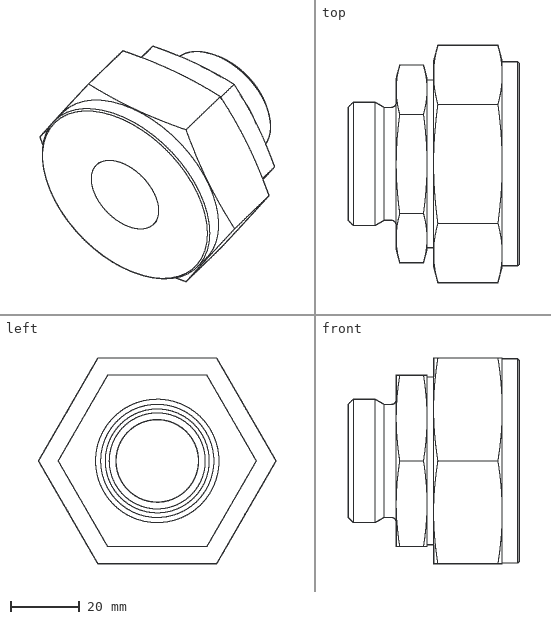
import cadquery as cq
import math

OVERALL_LENGTH = 49.9
SMALL_HEX_START = 14.0
SMALL_HEX_LENGTH = 9.0
LARGE_HEX_LENGTH = 20.0
END_COLLAR_LENGTH = 5.0

SMALL_HEX_FLATS = 50.0
LARGE_HEX_FLATS = 60.0
HEX_CHAMFER_ANGLE = 15.0

SPIGOT_RADIUS = 18.0
TIP_CHAMFER = 1.5
RELIEF_RADIUS = 16.5
RELIEF_CONE_START = 7.9
RELIEF_CONE_ANGLE = 30.0
RELIEF_FILLET = 1.4

NECK_RADIUS = 24.5
END_COLLAR_RADIUS = 29.8
END_COLLAR_CHAMFER = 0.5

BORE_RADIUS = 12.0
SOCKET_RADIUS = 14.0
SOCKET_MOUTH_RADIUS = 15.15
SOCKET_CONE_HALF_ANGLE = 12.0
SOCKET_DEPTH = 7.5

SMALL_HEX_END = SMALL_HEX_START + SMALL_HEX_LENGTH
LARGE_HEX_END = OVERALL_LENGTH - END_COLLAR_LENGTH
LARGE_HEX_START = LARGE_HEX_END - LARGE_HEX_LENGTH


def tangent(degrees):
    return math.tan(math.radians(degrees))


def cylinder(start, end, radius):
    """Cylinder along X between two stations."""
    return cq.Workplane("YZ", origin=(start, 0, 0)).circle(radius).extrude(end - start)


def chamfered_hexagon(start, end, flats):
    """Hexagonal prism along X whose corners are coned off at both ends."""
    flat_radius = flats / 2
    corner_radius = flat_radius / math.cos(math.pi / 6)
    corner_drop = (corner_radius - flat_radius) * tangent(HEX_CHAMFER_ANGLE)
    prism = (
        cq.Workplane("YZ", origin=(start, 0, 0))
        .polygon(6, 2 * corner_radius)
        .extrude(end - start)
    )
    envelope = (
        cq.Workplane("XY")
        .moveTo(start, 0)
        .lineTo(start, flat_radius)
        .lineTo(start + corner_drop, corner_radius)
        .lineTo(end - corner_drop, corner_radius)
        .lineTo(end, flat_radius)
        .lineTo(end, 0)
        .close()
        .revolve(360, (0, 0, 0), (1, 0, 0))
    )
    return prism.intersect(envelope)


def spigot():
    """Chamfered spigot with a conical relief and a fillet into the small hexagon."""
    relief_start = RELIEF_CONE_START + (SPIGOT_RADIUS - RELIEF_RADIUS) / tangent(RELIEF_CONE_ANGLE)
    fillet_start = SMALL_HEX_START - RELIEF_FILLET
    fillet_top = RELIEF_RADIUS + RELIEF_FILLET
    fillet_mid_offset = RELIEF_FILLET * math.sin(math.pi / 4)
    fillet_middle = (fillet_start + fillet_mid_offset, fillet_top - fillet_mid_offset)
    return (
        cq.Workplane("XY")
        .moveTo(0, 0)
        .lineTo(0, SPIGOT_RADIUS - TIP_CHAMFER)
        .lineTo(TIP_CHAMFER, SPIGOT_RADIUS)
        .lineTo(RELIEF_CONE_START, SPIGOT_RADIUS)
        .lineTo(relief_start, RELIEF_RADIUS)
        .lineTo(fillet_start, RELIEF_RADIUS)
        .threePointArc(fillet_middle, (SMALL_HEX_START, fillet_top))
        .lineTo(SMALL_HEX_START, 0)
        .close()
        .revolve(360, (0, 0, 0), (1, 0, 0))
    )


def end_collar():
    """Round collar beyond the large hexagon, with its outer edge chamfered."""
    collar = cylinder(LARGE_HEX_END, OVERALL_LENGTH, END_COLLAR_RADIUS)
    return collar.faces(">X").edges().chamfer(END_COLLAR_CHAMFER)


def bore():
    """Through bore, opening into a stepped socket with a conical mouth at the tip."""
    cone_depth = (SOCKET_MOUTH_RADIUS - SOCKET_RADIUS) / tangent(SOCKET_CONE_HALF_ANGLE)
    return (
        cq.Workplane("XY")
        .moveTo(0, 0)
        .lineTo(0, SOCKET_MOUTH_RADIUS)
        .lineTo(cone_depth, SOCKET_RADIUS)
        .lineTo(SOCKET_DEPTH, SOCKET_RADIUS)
        .lineTo(SOCKET_DEPTH, BORE_RADIUS)
        .lineTo(OVERALL_LENGTH, BORE_RADIUS)
        .lineTo(OVERALL_LENGTH, 0)
        .close()
        .revolve(360, (0, 0, 0), (1, 0, 0))
    )


small_hex = chamfered_hexagon(SMALL_HEX_START, SMALL_HEX_END, SMALL_HEX_FLATS)
neck = cylinder(SMALL_HEX_END, LARGE_HEX_START, NECK_RADIUS)
large_hex = chamfered_hexagon(LARGE_HEX_START, LARGE_HEX_END, LARGE_HEX_FLATS)

body = spigot().union(small_hex).union(neck).union(large_hex).union(end_collar())
result = body.cut(bore())